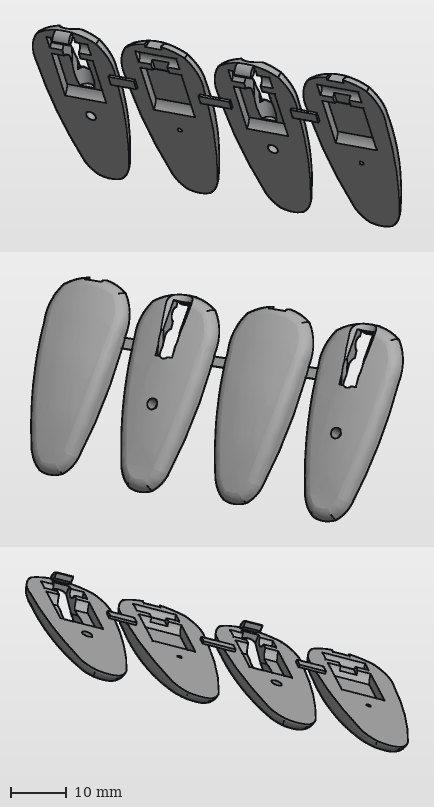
import cadquery as cq
import math


tilt = 15.0
lid_shift_across = 18.5
lid_shift_along = 0.5
pair_pitch = 37.65

max_half_width = 8.15
widest_z = 11.4
tip_z = 21.1
tail_z = -15.55
shoulder = (6.2, 19.1)
shoulder_mid = (7.6, 16.45)
side_mid = (7.2, 0.0)
side_end = (4.7, -11.75)
tail_corner_mid = (3.9, -13.4)
tail_corner = (2.35, -15.05)

base_crown_z = 5.15
lid_crown_z = 3.7
base_height = 3.5
base_dome_radius = 124.8
lid_height = 4.05
lid_dome_radius = 73.4
cross_dome_radius = 29.35
wall_taper = 13.0
edge_round = 2.2

pocket_half_width = 4.25
pocket_bottom, pocket_top = 4.1, 14.5
pocket_depth = 1.55
pocket_end_run = 1.4
pocket_end_radius = 6.0 / 2
groove_bottom, groove_top = 15.9, 18.6
groove_depth = 1.0

hook_half_width = 1.7
hook_top = 21.0
hook_reach = 1.9
hook_tip_z = 19.5
hook_shoulder_z = 19.8
hook_bend = (-1.1, 20.7)
hook_inner_reach = 0.8
hook_inner_z = 20.3
hook_root = 0.3
slot_bottom = 8.8
trough_radius = 1.9
trough_bottom, trough_top = 5.8, 13.6
trough_axis_depth = 0.3
trough_angle = 23.0
scoop_radius = 6.0 / 2
scoop_floor = 0.8
scoop_angle = 12.0

ridge_cut_depth = 0.7
ridge_cut_top = 17.25
notch_floor_z = 20.2

base_hole_diameter = 2.0
lid_hole_diameter = 0.8
lid_hole_depth = 1.5

bar_thickness = 0.5
pair_bar_start, pair_bar_end = 7.0, 12.25
pair_bar_bottom, pair_bar_top = 9.7, 11.7
link_bar_start, link_bar_end = 6.9, 13.3
link_bar_bottom, link_bar_top = 8.6, 10.35

through = 14.7
clearance = 0.7
dome_sweep = 60.0
dome_reach = 1.5 * max_half_width


def box(x_range, y_range, z_range):
    """Box spanning the given limits."""
    size = [end - start for start, end in (x_range, y_range, z_range)]
    corner = (x_range[0], y_range[0], z_range[0])
    return cq.Workplane("XY").box(*size, centered=False).translate(corner)


def across(profile, half_width):
    """Extrude a (y, z) profile symmetrically across the shell."""
    return profile.extrude(half_width, both=True)


def sloped_bar(radius, angle, y, z):
    """Long round bar through (y, z); a positive angle leans its upper end towards the dome."""
    bar = cq.Workplane("XY").circle(radius).extrude(through, both=True)
    return bar.rotate((0, 0, 0), (1, 0, 0), -angle).translate((0, y, z))


def mirrored(point):
    """Point reflected to the left half of the outline."""
    return (-point[0], point[1])


def outline():
    """Leaf outline: blunt tip at the top, long sides converging to a rounded tail."""
    widest = (max_half_width, widest_z)
    return (
        cq.Workplane("XZ")
        .moveTo(*mirrored(shoulder))
        .threePointArc((0, tip_z), shoulder)
        .threePointArc(shoulder_mid, widest)
        .threePointArc(side_mid, side_end)
        .threePointArc(tail_corner_mid, tail_corner)
        .threePointArc((0, tail_z), mirrored(tail_corner))
        .threePointArc(mirrored(tail_corner_mid), mirrored(side_end))
        .threePointArc(mirrored(side_mid), mirrored(widest))
        .threePointArc(mirrored(shoulder_mid), mirrored(shoulder))
        .close()
    )


def dome(height, long_radius, crown_z):
    """Solid under a doubly curved back, crowned at the given z."""
    sag = cross_dome_radius - math.sqrt(cross_dome_radius**2 - dome_reach**2)
    axis_y = height - long_radius
    section = (
        cq.Workplane("XY")
        .moveTo(-dome_reach, -clearance)
        .lineTo(-dome_reach, height - sag)
        .spline([(0, height), (dome_reach, height - sag)], includeCurrent=True)
        .lineTo(dome_reach, -clearance)
        .close()
    )
    ring = section.revolve(dome_sweep, (0, axis_y, 0), (1, axis_y, 0))
    return ring.rotate((0, axis_y, 0), (1, axis_y, 0), -dome_sweep / 2).translate((0, 0, crown_z))


def shell(height, long_radius, crown_z):
    """Solid shell with drafted walls, a domed back and a rounded rim."""
    blank = outline().extrude(-2 * height, taper=wall_taper)
    body = blank.intersect(dome(height, long_radius, crown_z))
    return body.faces(">Y").edges().fillet(edge_round)


def pocket():
    """Recess with a flat floor and hollow, curved end ramps."""
    rise_mid = pocket_depth / 2
    chord = math.hypot(pocket_end_run, pocket_depth)
    bulge = pocket_end_radius - math.sqrt(pocket_end_radius**2 - (chord / 2) ** 2)
    mid_y = rise_mid + bulge * pocket_end_run / chord
    mid_run = pocket_end_run / 2 - bulge * pocket_depth / chord
    profile = (
        cq.Workplane("YZ")
        .moveTo(0, pocket_bottom)
        .threePointArc((mid_y, pocket_bottom + mid_run), (pocket_depth, pocket_bottom + pocket_end_run))
        .lineTo(pocket_depth, pocket_top - pocket_end_run)
        .threePointArc((mid_y, pocket_top - mid_run), (0, pocket_top))
        .close()
    )
    return across(profile, pocket_half_width)


def groove():
    """Round-bottomed groove across the shell above the pocket."""
    middle = (groove_bottom + groove_top) / 2
    profile = (
        cq.Workplane("YZ")
        .moveTo(0, groove_bottom)
        .threePointArc((groove_depth, middle), (0, groove_top))
        .close()
    )
    return across(profile, pocket_half_width)


def hole(diameter, depth):
    """Round hole bored from the mating face at the shell origin."""
    return cq.Workplane("XZ").circle(diameter / 2).extrude(-depth)


def slot():
    """Straight window behind the hook, open through the back."""
    return box((-hook_half_width, hook_half_width), (-clearance, through), (slot_bottom, hook_tip_z))


def trough():
    """Sloped round channel running out the lower end of the slot."""
    bar = sloped_bar(trough_radius, trough_angle, trough_axis_depth, trough_bottom)
    return bar.intersect(box((-through, through), (0, through), (trough_bottom, trough_top)))


def scoop():
    """Sloped round hollow in the back that thins the tip behind the hook."""
    scoop_y = scoop_floor + scoop_radius / math.cos(math.radians(scoop_angle))
    return sloped_bar(scoop_radius, -scoop_angle, scoop_y, tip_z)


def hook():
    """Band leaving the tip and bending down in front of the mating face."""
    profile = (
        cq.Workplane("YZ")
        .moveTo(hook_root, hook_inner_z)
        .lineTo(hook_root, hook_top - hook_root)
        .lineTo(0, hook_top)
        .threePointArc(hook_bend, (-hook_reach, hook_shoulder_z))
        .lineTo(-hook_reach, hook_tip_z)
        .lineTo(-hook_inner_reach, hook_tip_z)
        .lineTo(0, hook_inner_z)
        .close()
    )
    return across(profile, hook_half_width)


def base():
    """Shell with the hook, slot and through hole."""
    body = shell(base_height, base_dome_radius, base_crown_z).cut(pocket()).cut(groove())
    body = body.cut(slot()).cut(trough()).cut(scoop())
    return body.cut(hole(base_hole_diameter, through)).union(hook())


def lid():
    """Taller shell with a hook seat and a blind hole."""
    body = shell(lid_height, lid_dome_radius, lid_crown_z).cut(pocket()).cut(groove())
    seat_sides = (-hook_half_width, hook_half_width)
    ridge_cut = box(seat_sides, (0, ridge_cut_depth), (pocket_top - pocket_end_run, ridge_cut_top))
    tip_notch = box(seat_sides, (0, through), (notch_floor_z, tip_z + clearance))
    return body.cut(ridge_cut).cut(tip_notch).cut(hole(lid_hole_diameter, lid_hole_depth))


bar_depth = (-bar_thickness, 0)
pair_bar = box((pair_bar_start, pair_bar_end), bar_depth, (pair_bar_bottom, pair_bar_top))
link_bar = box((link_bar_start, link_bar_end), bar_depth, (link_bar_bottom, link_bar_top))
lid_shift = (lid_shift_across, 0, lid_shift_along)

base_shell = base()
lid_shell = lid().translate(lid_shift)
row = link_bar.translate(lid_shift)
for pair in range(2):
    for piece in (base_shell, lid_shell, pair_bar):
        row = row.union(piece.translate((pair * pair_pitch, 0, 0)))

result = row.rotate((0, 0, 0), (0, 1, 0), -tilt)